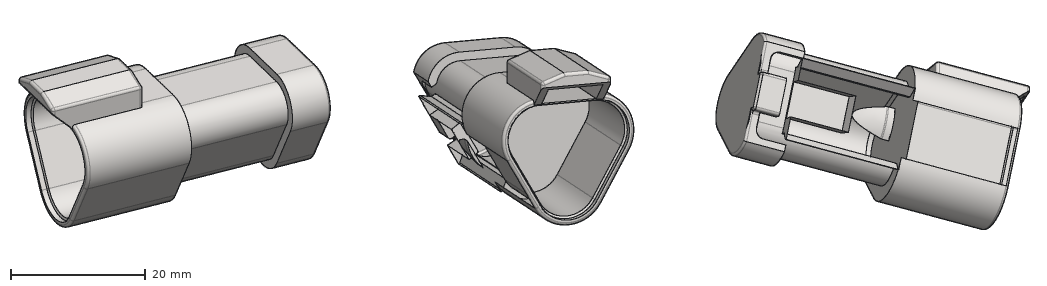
import cadquery as cq
import math


TIP_Y = 0.0
MOUTH_Y = 3.4
SHELL_END_Y = 20.88
FLANGE_Y = 38.3
REAR_Y = 44.8

SHELL_SPACING = 8.9
SHELL_RADIUS = 6.05
BODY_SPACING = 8.65
BODY_RADIUS = 3.8
FLANGE_RADIUS = 5.05
CAVITY_RADIUS = 4.85
LIP_RADIUS = 5.2

LIP_DEPTH = 1.08
LIP_TAPER = 0.2
MOUTH_FILLET = 0.45
FLANGE_FILLET = 0.35
SHELL_WALL = SHELL_RADIUS - CAVITY_RADIUS

LATCH_HALF = 5.55
LATCH_PLATEAU_HALF = 1.93
LATCH_TOP_Z = 13.2
LATCH_SHOULDER_Z = 12.0
LATCH_TIP_Z = 11.25
LATCH_END_Y = 15.28
LATCH_FILLET = 0.5
POCKET_HALF = 4.35
POCKET_FLOOR_Z = 7.97
POCKET_TOP_Z = 10.8

SIDE_ANGLE = -30
SIDE_ROOT = 4.5
FLAT_DISTANCE = 6.4
SLOT_HALF = 6.7
SLOT_END_Y = 43.3
SLOT_FILLET = 1.35

TAB_DISTANCE = 7.65
TAB_HALF = 2.95
TAB_START_Y = 40.65
TAB_FILLET = 0.45

RAIL_HALF = 6.3
RAIL_NECK_HALF = 5.15
RAIL_EDGE = 0.25
RAIL_SLOPE_DEPTH = 1.65
RAIL_END_Y = 39.15

RECESS_HALF = 2.8
RECESS_DEPTH = 1.9
RECESS_FLOOR_Y = 30.2
RECESS_Y = 29.8

BUMP_HALF = 2.5
BUMP_HEIGHT = 0.55
BUMP_START_Y = 23.35
BUMP_CONE_Y = 24.55
BUMP_FILLET = 2.15


def centroid_rise(spacing):
    """Height of the two upper corner centres above the centroid."""
    return spacing / (2 * math.sqrt(3))


def rounded_triangle(spacing, radius, y_start, y_end):
    """Prism along Y: an equilateral triangle of corner centres grown by radius."""
    half = spacing / 2
    rise = centroid_rise(spacing)
    corners = [(-half, rise), (half, rise), (0, -2 * rise)]
    plane = cq.Workplane("XZ", origin=(0, y_start, 0))
    return plane.polyline(corners).close().offset2D(radius).extrude(y_start - y_end)


def box(x_range, y_range, z_range):
    size = [high - low for low, high in (x_range, y_range, z_range)]
    corner = (x_range[0], y_range[0], z_range[0])
    return cq.Workplane("XY").box(*size, centered=False).translate(corner)


def on_side(solid):
    """Turn a solid built facing -X onto the slanted lower left face."""
    return solid.rotate((0, 0, 0), (0, 1, 0), SIDE_ANGLE)


FACE_DISTANCE = centroid_rise(SHELL_SPACING) + SHELL_RADIUS
FAR = 2 * FACE_DISTANCE


def make_flange():
    """Rear flange with a flat and a slot open towards the front."""
    flange = rounded_triangle(SHELL_SPACING, FLANGE_RADIUS, FLANGE_Y, REAR_Y)
    flat = box((-FAR, -FLAT_DISTANCE), (FLANGE_Y, REAR_Y), (-FAR, FAR))
    flange = flange.cut(on_side(flat)).faces(">Y").edges().fillet(FLANGE_FILLET)
    slot = box((-FAR, -SIDE_ROOT), (FLANGE_Y, SLOT_END_Y), (-SLOT_HALF, SLOT_HALF))
    slot = slot.edges("|X and >Y").fillet(SLOT_FILLET)
    return flange.cut(on_side(slot))


def make_tab():
    """Rounded key on the flange flat, blended into the flat behind the slot."""
    tab = box((-TAB_DISTANCE, -SIDE_ROOT), (TAB_START_Y, REAR_Y), (-TAB_HALF, TAB_HALF))
    tab = tab.edges("|Y and <X").fillet(TAB_FILLET)
    tab = tab.faces(">Y").edges("<X").chamfer(FLANGE_FILLET)
    foot_half = TAB_HALF + TAB_FILLET
    foot_x = -FLAT_DISTANCE - TAB_FILLET
    foot = box((foot_x, -SIDE_ROOT), (SLOT_END_Y, REAR_Y - FLANGE_FILLET), (-foot_half, foot_half))
    for z in (-foot_half, foot_half):
        blend = cq.Workplane("XZ", origin=(0, SLOT_END_Y, 0)).center(foot_x, z)
        foot = foot.cut(blend.circle(TAB_FILLET).extrude(SLOT_END_Y - REAR_Y))
    return on_side(tab.union(foot))


def make_rail():
    """Dovetailed rail flush with the shell face, with a recess open to the rear."""
    edge_x = -FACE_DISTANCE + RAIL_EDGE
    neck_x = -FACE_DISTANCE + RAIL_SLOPE_DEPTH
    upper = [(-FACE_DISTANCE, RAIL_HALF), (edge_x, RAIL_HALF),
             (neck_x, RAIL_NECK_HALF), (-SIDE_ROOT, RAIL_NECK_HALF)]
    lower = [(x, -z) for x, z in reversed(upper)]
    plane = cq.Workplane("XZ", origin=(0, SHELL_END_Y, 0))
    rail = plane.polyline(upper + lower).close().extrude(SHELL_END_Y - RAIL_END_Y)
    floor_x = -FACE_DISTANCE + RECESS_DEPTH
    recess = (
        cq.Workplane("XY", origin=(0, 0, -RECESS_HALF))
        .polyline([(-FACE_DISTANCE, RECESS_Y), (floor_x, RECESS_FLOOR_Y),
                   (floor_x, RAIL_END_Y), (-FACE_DISTANCE, RAIL_END_Y)])
        .close().extrude(2 * RECESS_HALF)
    )
    return on_side(rail.cut(recess))


def make_bump():
    """Shallow cylinder tapering as a cone down into the rail face."""
    radius = (BUMP_HALF ** 2 + BUMP_HEIGHT ** 2) / (2 * BUMP_HEIGHT)
    face_radius = radius - BUMP_HEIGHT
    axis_x = -FACE_DISTANCE + face_radius
    turned = (
        cq.Workplane("XY")
        .polyline([(0, BUMP_START_Y), (radius, BUMP_START_Y), (radius, BUMP_CONE_Y),
                   (face_radius, RECESS_Y), (0, RECESS_Y)])
        .close().revolve(360, (0, 0, 0), (0, 1, 0)).translate((axis_x, 0, 0))
    )
    turned = turned.edges("%CIRCLE").edges(">>Y[1]").fillet(BUMP_FILLET)
    window = box((-FAR, BUMP_HEIGHT - FACE_DISTANCE), (BUMP_START_Y, RECESS_Y),
                 (-RECESS_HALF, RECESS_HALF))
    return on_side(turned.intersect(window))


def make_latch():
    """Guard with a sloped roof, overhanging the mouth on a 45 degree underside."""
    outline = [(-LATCH_HALF, 0), (-LATCH_HALF, LATCH_SHOULDER_Z), (-LATCH_PLATEAU_HALF, LATCH_TOP_Z),
               (LATCH_PLATEAU_HALF, LATCH_TOP_Z), (LATCH_HALF, LATCH_SHOULDER_Z), (LATCH_HALF, 0)]
    latch = cq.Workplane("XZ").polyline(outline).close().extrude(TIP_Y - LATCH_END_Y)
    latch = latch.edges("|Y and (<X or >X)").edges(">Z").fillet(LATCH_FILLET)
    latch = latch.faces("<Y or >Y").edges("not <Z").fillet(LATCH_FILLET)
    underside = (
        cq.Workplane("YZ", origin=(-LATCH_HALF, 0, 0))
        .polyline([(TIP_Y, LATCH_TIP_Z), (TIP_Y + LATCH_TIP_Z, 0), (TIP_Y, 0)])
        .close().extrude(2 * LATCH_HALF)
    )
    return latch.cut(underside)


def make_mouth():
    """Cavity with a slightly wider entry that tapers down to it."""
    cavity = rounded_triangle(SHELL_SPACING, CAVITY_RADIUS, MOUTH_Y, SHELL_END_Y - SHELL_WALL)
    lip_step = LIP_RADIUS - CAVITY_RADIUS
    entry = rounded_triangle(SHELL_SPACING, LIP_RADIUS, MOUTH_Y, MOUTH_Y + LIP_DEPTH)
    entry = entry.faces(">Y").chamfer(LIP_TAPER, lip_step)
    return cavity.union(entry)


def make_shell():
    """Shell and latch guard, hollowed by the mouth and the pocket in the guard."""
    shell = rounded_triangle(SHELL_SPACING, SHELL_RADIUS, MOUTH_Y, SHELL_END_Y)
    shell = shell.faces("<Y").edges().fillet(MOUTH_FILLET)
    pocket_x = (-POCKET_HALF, POCKET_HALF)
    pocket = box(pocket_x, (TIP_Y, LATCH_END_Y - SHELL_WALL), (POCKET_FLOOR_Z, POCKET_TOP_Z))
    front_opening = box(pocket_x, (TIP_Y, MOUTH_Y), (0, POCKET_TOP_Z))
    front_cavity = rounded_triangle(SHELL_SPACING, CAVITY_RADIUS, TIP_Y, MOUTH_Y)
    latch = make_latch().cut(front_opening).cut(front_cavity)
    return shell.union(latch).cut(pocket).cut(make_mouth())


result = rounded_triangle(BODY_SPACING, BODY_RADIUS, SHELL_END_Y, REAR_Y)
for feature in (make_flange(), make_tab(), make_rail(), make_bump(), make_shell()):
    result = result.union(feature)